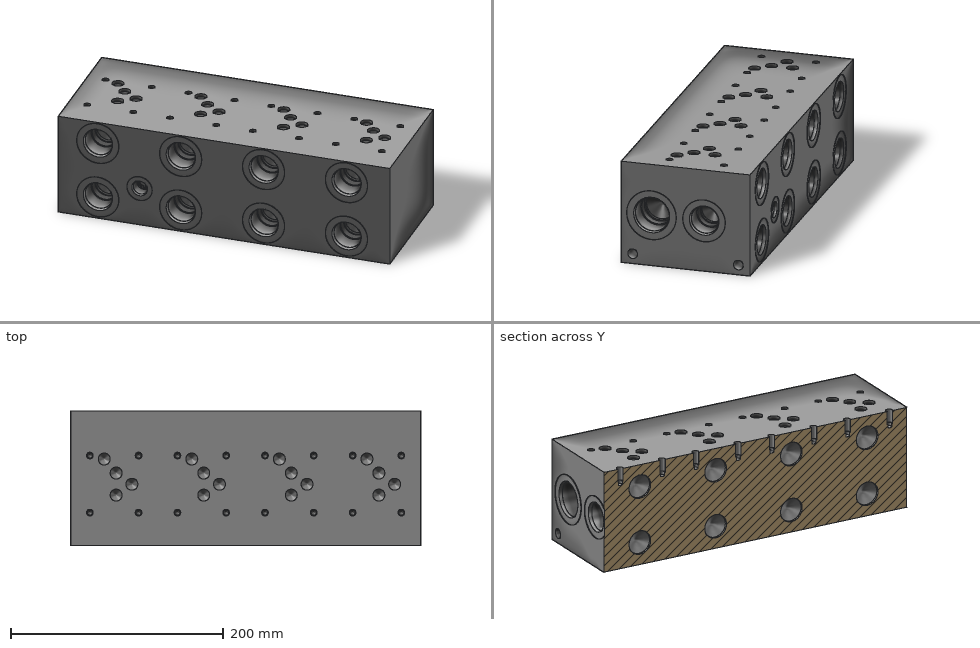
import cadquery as cq
import math

LENGTH = 330.2
WIDTH = 127.0
HEIGHT = 101.7
FRONT_Y = -WIDTH / 2

STATION_COUNT = 4
STATION_PITCH = 82.5

WORK_PORT_X = 39.3
WORK_PORT_HEIGHTS = (22.5, 79.2)
GAUGE_PORT_X = 81.0
GAUGE_PORT_Z = 38.3

END_PORT_Z = 50.5
TANK_PORT_Y = 33.7
PRESSURE_PORT_Y = -18.0

END_HOLE_Y = 52.2
END_HOLE_Z = 10.0

BOLT_X = 18.0
BOLT_Y = 21.5
BOLT_SPAN_X = 46.0
BOLT_SPAN_Y = 53.8
VALVE_HOLES = ((13.5, 3.3), (24.8, 16.5), (39.5, 27.0), (24.8, 37.3))
VALVE_HOLE_DIAMETER = 11.2
VALVE_HOLE_DEPTH = 3.3

DRILL_POINT_ANGLE = 118.0

SPOTFACE_DEPTH = 0.5
MEDIUM_PORT = dict(spotface=42.0, mouth=29.0, seat=27.5, seat_depth=3.3, thread=27.0, thread_depth=20.5,
                   tap=24.8, tap_depth=28.0, passage=23.0, passage_depth=31.5)
LARGE_PORT = dict(spotface=49.0, mouth=35.3, seat=34.0, seat_depth=3.3, thread=33.7, thread_depth=20.5,
                  tap=31.5, tap_depth=28.0, passage=28.7, passage_depth=31.5)
SMALL_PORT = dict(spotface=25.0, mouth=15.5, seat=14.5, seat_depth=2.5, thread=14.2, thread_depth=13.0,
                  tap=13.2, tap_depth=15.2, passage=12.2, passage_depth=17.5)

END_HOLE = dict(thread=9.5, thread_depth=19.8, drill=8.0, drill_depth=23.0)
BOLT_HOLE = dict(thread=6.3, thread_depth=13.2, drill=5.0, drill_depth=16.5)


def revolved_cutter(profile):
    """Turn (radius, depth) points into a cutter running down -Z, closed by a drill point."""
    last_radius, last_depth = profile[-1]
    tip_depth = last_depth + last_radius / math.tan(math.radians(DRILL_POINT_ANGLE / 2))
    outline = [(0, 0)] + [(radius, -depth) for radius, depth in profile] + [(0, -tip_depth)]
    return cq.Workplane("XZ").polyline(outline).close().revolve(360, (0, 0), (0, 1))


def drilled_cutter(diameter, depth):
    return revolved_cutter([(diameter / 2, 0), (diameter / 2, depth)])


def threaded_cutter(size):
    return revolved_cutter([
        (size["thread"] / 2, 0),
        (size["thread"] / 2, size["thread_depth"]),
        (size["drill"] / 2, size["thread_depth"]),
        (size["drill"] / 2, size["drill_depth"]),
    ])


def port_cutter(size):
    seat_end = SPOTFACE_DEPTH + size["seat_depth"]
    return revolved_cutter([
        (size["spotface"] / 2, 0),
        (size["spotface"] / 2, SPOTFACE_DEPTH),
        (size["mouth"] / 2, SPOTFACE_DEPTH),
        (size["seat"] / 2, seat_end),
        (size["thread"] / 2, seat_end),
        (size["thread"] / 2, size["thread_depth"]),
        (size["tap"] / 2, size["thread_depth"]),
        (size["tap"] / 2, size["tap_depth"]),
        (size["passage"] / 2, size["tap_depth"]),
        (size["passage"] / 2, size["passage_depth"]),
    ])


def on_front(cutter, x, z):
    """Place a cutter on the -Y face, running toward +Y."""
    return cutter.rotate((0, 0, 0), (1, 0, 0), 90).translate((x, FRONT_Y, z))


def on_end(cutter, y, z):
    """Place a cutter on the -X face, running toward +X."""
    return cutter.rotate((0, 0, 0), (0, 1, 0), -90).translate((0, y, z))


def on_top(cutter, x, y):
    """Place a cutter on the +Z face, running toward -Z."""
    return cutter.translate((x, y, HEIGHT))


def end_face_cutters():
    cutters = [
        on_end(port_cutter(LARGE_PORT), TANK_PORT_Y, END_PORT_Z),
        on_end(port_cutter(MEDIUM_PORT), PRESSURE_PORT_Y, END_PORT_Z),
    ]
    for y in (-END_HOLE_Y, END_HOLE_Y):
        cutters.append(on_end(threaded_cutter(END_HOLE), y, END_HOLE_Z))
    return cutters


def station_cutters(offset):
    """Work ports, valve bolts and valve passages of the station shifted by offset along X."""
    cutters = []
    for z in WORK_PORT_HEIGHTS:
        cutters.append(on_front(port_cutter(MEDIUM_PORT), WORK_PORT_X + offset, z))
    bolt_x = BOLT_X + offset
    for x in (bolt_x, bolt_x + BOLT_SPAN_X):
        for y in (BOLT_Y, BOLT_Y - BOLT_SPAN_Y):
            cutters.append(on_top(threaded_cutter(BOLT_HOLE), x, y))
    for right, forward in VALVE_HOLES:
        passage = drilled_cutter(VALVE_HOLE_DIAMETER, VALVE_HOLE_DEPTH)
        cutters.append(on_top(passage, bolt_x + right, BOLT_Y - forward))
    return cutters


result = cq.Workplane("XY").box(LENGTH, WIDTH, HEIGHT, centered=(False, True, False))

cutters = end_face_cutters()
cutters.append(on_front(port_cutter(SMALL_PORT), GAUGE_PORT_X, GAUGE_PORT_Z))
for station in range(STATION_COUNT):
    cutters += station_cutters(station * STATION_PITCH)
for cutter in cutters:
    result = result.cut(cutter)